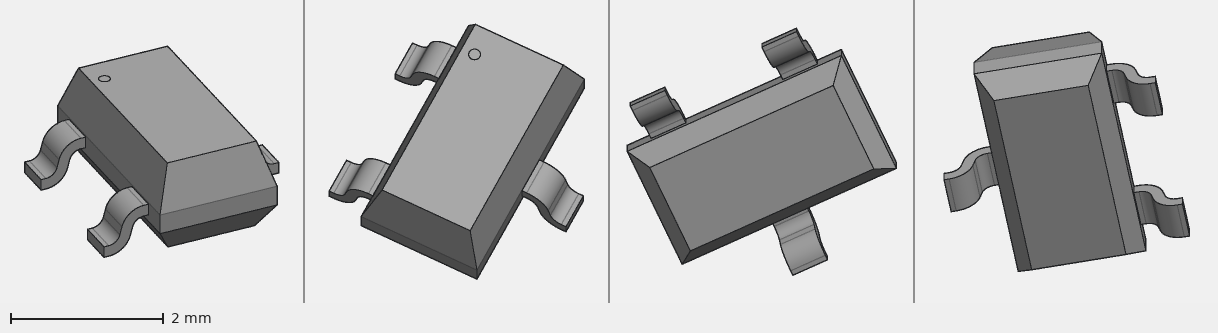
import cadquery as cq
import math

BODY_LENGTH = 3.1
BODY_WIDTH = 1.705
BODY_HEIGHT = 1.3
BELT_BOTTOM = 0.38
BELT_TOP = 0.665
TOP_INSET = 0.205
BOTTOM_INSET = 0.223

SPAN = 3.0
LEAD_WIDTH = 0.502
LEAD_THICKNESS = 0.16
LEAD_TOP = 0.645
LEAD_PITCH = 1.903
BEND_INNER_RADIUS = 0.167
BEND_ANGLE = math.radians(75)

MARKER_DIAMETER = 0.155
MARKER_DEPTH = 0.03
MARKER_Y = -0.46


def tapered_block(z_start, z_end, inset):
    """Block with the full body outline at z_start, inset on every side at z_end."""
    return (
        cq.Workplane("XY", origin=(0, 0, z_start))
        .rect(BODY_LENGTH, BODY_WIDTH)
        .workplane(offset=z_end - z_start)
        .rect(BODY_LENGTH - 2 * inset, BODY_WIDTH - 2 * inset)
        .loft(ruled=True)
    )


def make_marker():
    return (
        cq.Workplane("XY", origin=(-LEAD_PITCH / 2, MARKER_Y, BODY_HEIGHT - MARKER_DEPTH))
        .circle(MARKER_DIAMETER / 2)
        .extrude(MARKER_DEPTH)
    )


def make_body(marker):
    belt = cq.Workplane("XY", origin=(0, 0, BELT_BOTTOM)).rect(BODY_LENGTH, BODY_WIDTH)
    belt = belt.extrude(BELT_TOP - BELT_BOTTOM)
    cap = tapered_block(BELT_TOP, BODY_HEIGHT, TOP_INSET)
    base = tapered_block(BELT_BOTTOM, 0, BOTTOM_INSET)
    return belt.union(cap).union(base).cut(marker)


def make_lead(x):
    """S-bent lead on the -Y side, centred on x, from the body side face to the foot."""
    inner = BEND_INNER_RADIUS
    outer = inner + LEAD_THICKNESS
    root_y = -BODY_WIDTH / 2
    toe_y = -SPAN / 2

    bend_reach = (inner + outer) * math.sin(BEND_ANGLE)
    bend_drop = (inner + outer) * (1 - math.cos(BEND_ANGLE))
    slope_drop = LEAD_TOP - LEAD_THICKNESS - bend_drop
    slope_reach = slope_drop / math.tan(BEND_ANGLE)
    flat = (root_y - toe_y - bend_reach - slope_reach) / 2

    shoulder_y = root_y - flat
    shoulder_z = LEAD_TOP - outer
    foot_y = toe_y + flat
    foot_z = outer

    def shoulder_point(radius, angle):
        return (shoulder_y - radius * math.sin(angle), shoulder_z + radius * math.cos(angle))

    def foot_point(radius, angle):
        return (foot_y + radius * math.sin(angle), foot_z - radius * math.cos(angle))

    half_angle = BEND_ANGLE / 2
    return (
        cq.Workplane("YZ", origin=(x, 0, 0))
        .moveTo(root_y, LEAD_TOP)
        .lineTo(*shoulder_point(outer, 0))
        .threePointArc(shoulder_point(outer, half_angle), shoulder_point(outer, BEND_ANGLE))
        .lineTo(*foot_point(inner, BEND_ANGLE))
        .threePointArc(foot_point(inner, half_angle), foot_point(inner, 0))
        .lineTo(toe_y, LEAD_THICKNESS)
        .lineTo(toe_y, 0)
        .lineTo(*foot_point(outer, 0))
        .threePointArc(foot_point(outer, half_angle), foot_point(outer, BEND_ANGLE))
        .lineTo(*shoulder_point(inner, BEND_ANGLE))
        .threePointArc(shoulder_point(inner, half_angle), shoulder_point(inner, 0))
        .lineTo(root_y, LEAD_TOP - LEAD_THICKNESS)
        .close()
        .extrude(LEAD_WIDTH / 2, both=True)
    )


marker = make_marker()
body = make_body(marker)

lead_places = [(-LEAD_PITCH / 2, 0), (LEAD_PITCH / 2, 0), (0, 180)]
leads = []
for lead_x, turn in lead_places:
    lead = make_lead(lead_x).rotate((0, 0, 0), (0, 0, 1), turn)
    leads.append(lead.val())

result = cq.Compound.makeCompound([body.val(), marker.val(), *leads])